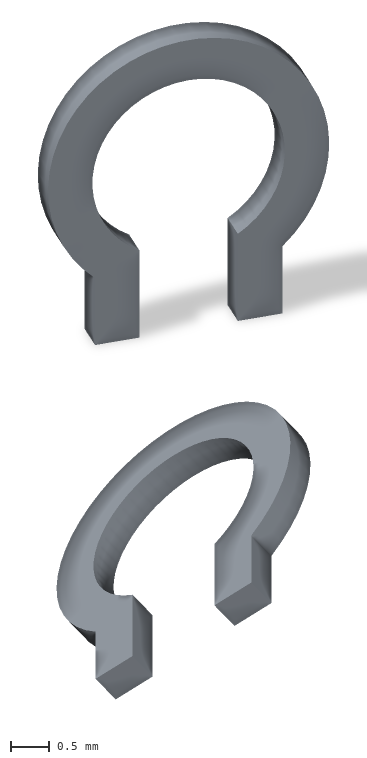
import cadquery as cq
import math

thickness = 0.42
outer_radius = 1.9
band_width = 0.6
leg_gap = 1.33
leg_length = 1.0

inner_radius = outer_radius - band_width
leg_inner_y = leg_gap / 2
leg_outer_y = leg_inner_y + band_width
inner_joint_z = -math.sqrt(inner_radius**2 - leg_inner_y**2)
outer_joint_z = -math.sqrt(outer_radius**2 - leg_outer_y**2)
leg_bottom_z = outer_joint_z - leg_length


def open_ring():
    """Flat open ring with two parallel legs, centred on the YZ plane."""
    return (
        cq.Workplane("YZ")
        .workplane(offset=-thickness / 2)
        .moveTo(leg_outer_y, leg_bottom_z)
        .lineTo(leg_outer_y, outer_joint_z)
        .threePointArc((0, outer_radius), (-leg_outer_y, outer_joint_z))
        .lineTo(-leg_outer_y, leg_bottom_z)
        .lineTo(-leg_inner_y, leg_bottom_z)
        .lineTo(-leg_inner_y, inner_joint_z)
        .threePointArc((0, inner_radius), (leg_inner_y, inner_joint_z))
        .lineTo(leg_inner_y, leg_bottom_z)
        .close()
        .extrude(thickness)
    )


result = open_ring()